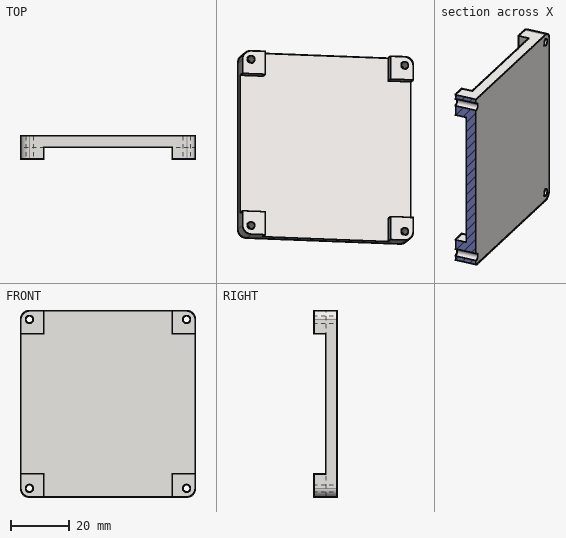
import cadquery as cq

width = 59.95
depth = 8.0
height = 64.0

plate_thickness = depth / 2
pad_side = 8.0
corner_radius = 3.0

hole_diameter = 2.5
hole_inset = corner_radius


def corner_points(inset):
    """Four points in the XZ plane, set in from both edges at each corner."""
    x = width / 2 - inset
    z = height / 2 - inset
    return [(-x, -z), (x, -z), (x, z), (-x, z)]


def front_sketch():
    """Sketch plane on the pad faces (Y = 0); extruding by a negative length goes towards +Y."""
    return cq.Workplane("XZ")


block = front_sketch().rect(width, height).extrude(-depth).edges("|Y").fillet(corner_radius)

plate = front_sketch().workplane(offset=plate_thickness - depth).rect(width, height).extrude(-plate_thickness)
pads = front_sketch().pushPoints(corner_points(pad_side / 2)).rect(pad_side, pad_side).extrude(-depth)

holes = front_sketch().pushPoints(corner_points(hole_inset)).circle(hole_diameter / 2).extrude(-depth)

result = plate.union(pads).intersect(block).cut(holes)